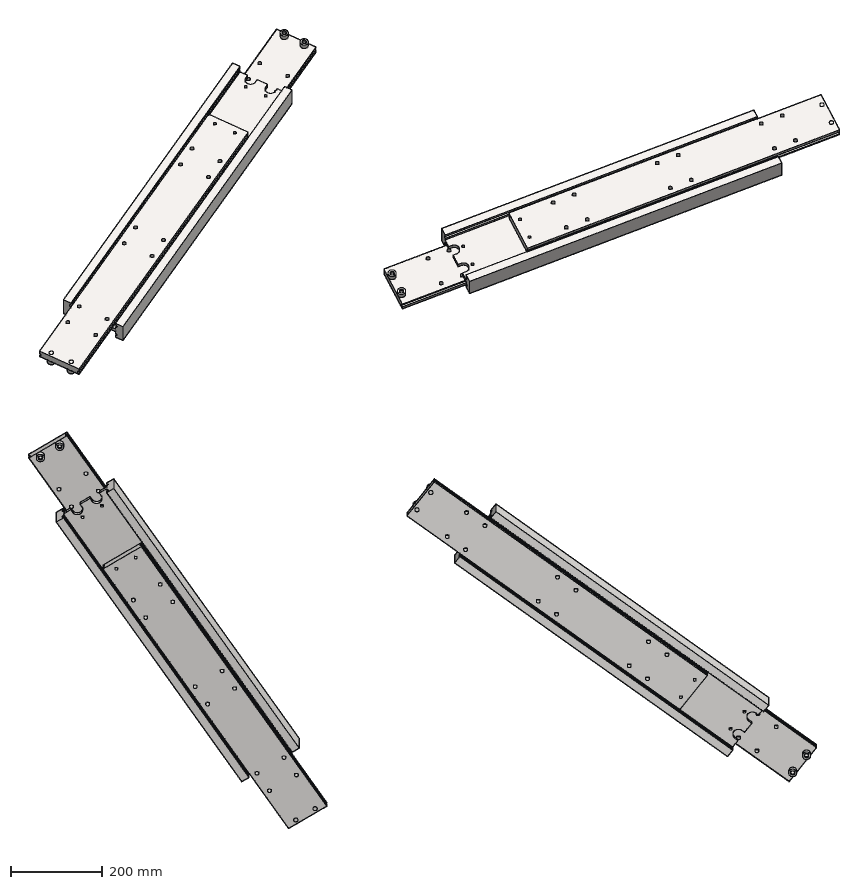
import cadquery as cq

overall_length = 1050.0
rail_length = 750.0
slide_length = 750.0
rail_width = 150.0
rail_height = 50.0
web_thickness = 10.0
flange_thickness = 19.0
slide_width = 100.0
slide_thickness = 20.0
slide_gap = 2.5

race_inset = 10.2
race_radius = 3.8

pin_spacing = 50.0
pin_diameter = 18.0
pin_hole_diameter = 9.0
pin_hole_depth = 6.0
pin_hole_cone_depth = 3.0
pin_recess_diameter = 9.0
pin_recess_depth = 0.5
notch_width = 24.0
notch_depth = 20.0
stop_hole_diameter = 6.0
slide_stop_hole_inset = 16.0
web_stop_hole_inset = 29.0

mount_spacing_x = 70.0
mount_hole_diameter = 8.0
mount_offsets = [100.0, 150.0, 350.0]

race_height = rail_height / 2 - race_inset
slide_base_z = web_thickness / 2 + slide_gap
slide_front_y = -overall_length / 2
slide_back_y = slide_front_y + slide_length
flange_inner_x = rail_width / 2 - flange_thickness
pin_length = slide_gap + web_thickness
pin_y = slide_front_y + pin_diameter / 2
pin_xs = [-pin_spacing / 2, pin_spacing / 2]


def block(x_size, y_size, z_size, y_center, z_center):
    """Box centred on X."""
    return cq.Workplane("XY").box(x_size, y_size, z_size).translate((0, y_center, z_center))


def upright_cylinders(points, diameter, z_bottom, height):
    """Vertical cylinders standing on the given points."""
    return (
        cq.Workplane("XY", origin=(0, 0, z_bottom))
        .pushPoints(points)
        .circle(diameter / 2)
        .extrude(height)
    )


def race_cutters(face_x, z):
    """Two round rods along Y that cut half-round races into the faces at +face_x and -face_x."""
    return (
        cq.Workplane("XZ", origin=(0, overall_length / 2, 0))
        .pushPoints([(-face_x, z), (face_x, z)])
        .circle(race_radius)
        .extrude(overall_length)
    )


def make_rail():
    """H-section rail with notched web ends."""
    rail = block(rail_width, rail_length, rail_height, 0, 0)
    channel_depth = (rail_height - web_thickness) / 2
    for side in (-1, 1):
        channel_z = side * (rail_height - channel_depth) / 2
        rail = rail.cut(block(2 * flange_inner_x, rail_length, channel_depth, 0, channel_z))
        rail = rail.cut(race_cutters(flange_inner_x, side * race_height))
    for end in (-1, 1):
        for x in pin_xs:
            rail = rail.cut(notch_cutter(x, end))
        hole_y = end * (rail_length / 2 - web_stop_hole_inset)
        hole_points = [(x, hole_y) for x in pin_xs]
        rail = rail.cut(upright_cylinders(hole_points, stop_hole_diameter, -web_thickness, 2 * web_thickness))
    return rail


def notch_cutter(x, end):
    """U-shaped notch through the web, open at one end of the rail."""
    end_y = end * rail_length / 2
    radius = notch_width / 2
    arc_y = end_y - end * (notch_depth - radius)
    return (
        cq.Workplane("XY", origin=(0, 0, -web_thickness / 2))
        .moveTo(x - radius, end_y)
        .lineTo(x - radius, arc_y)
        .threePointArc((x, end_y - end * notch_depth), (x + radius, arc_y))
        .lineTo(x + radius, end_y)
        .close()
        .extrude(web_thickness)
    )


def pin_hole_cutter(x):
    """Blind hole with a conical bottom, drilled up into the free end of a pin."""
    radius = pin_hole_diameter / 2
    return (
        cq.Workplane("XZ", origin=(x, pin_y, slide_base_z - pin_length))
        .lineTo(radius, 0)
        .lineTo(radius, pin_hole_depth)
        .lineTo(0, pin_hole_depth + pin_hole_cone_depth)
        .close()
        .revolve(360, (0, 0, 0), (0, 1, 0))
    )


def make_upper_slide():
    """Slide with grooved edges and stop pins hanging from its front end."""
    slide_center_y = (slide_front_y + slide_back_y) / 2
    slide = block(slide_width, slide_length, slide_thickness, slide_center_y, slide_base_z + slide_thickness / 2)
    slide = slide.cut(race_cutters(slide_width / 2, race_height))

    pin_points = [(x, pin_y) for x in pin_xs]
    pins = upright_cylinders(pin_points, pin_diameter, slide_base_z - pin_length, pin_length)
    slide = slide.union(pins)
    for x in pin_xs:
        slide = slide.cut(pin_hole_cutter(x))
    recess_base_z = slide_base_z + slide_thickness - pin_recess_depth
    slide = slide.cut(upright_cylinders(pin_points, pin_recess_diameter, recess_base_z, pin_recess_depth))

    stop_y = slide_back_y - slide_stop_hole_inset
    stop_points = [(x, stop_y) for x in pin_xs]
    slide = slide.cut(upright_cylinders(stop_points, stop_hole_diameter, slide_base_z, slide_thickness))

    mount_points = []
    for offset in mount_offsets:
        for y in (slide_front_y + offset, slide_back_y - offset):
            for x in (-mount_spacing_x / 2, mount_spacing_x / 2):
                mount_points.append((x, y))
    return slide.cut(upright_cylinders(mount_points, mount_hole_diameter, slide_base_z, slide_thickness))


rail = make_rail()
upper_slide = make_upper_slide()
lower_slide = upper_slide.rotate((0, 0, 0), (1, 0, 0), 180)

result = cq.Compound.makeCompound([rail.val(), upper_slide.val(), lower_slide.val()])